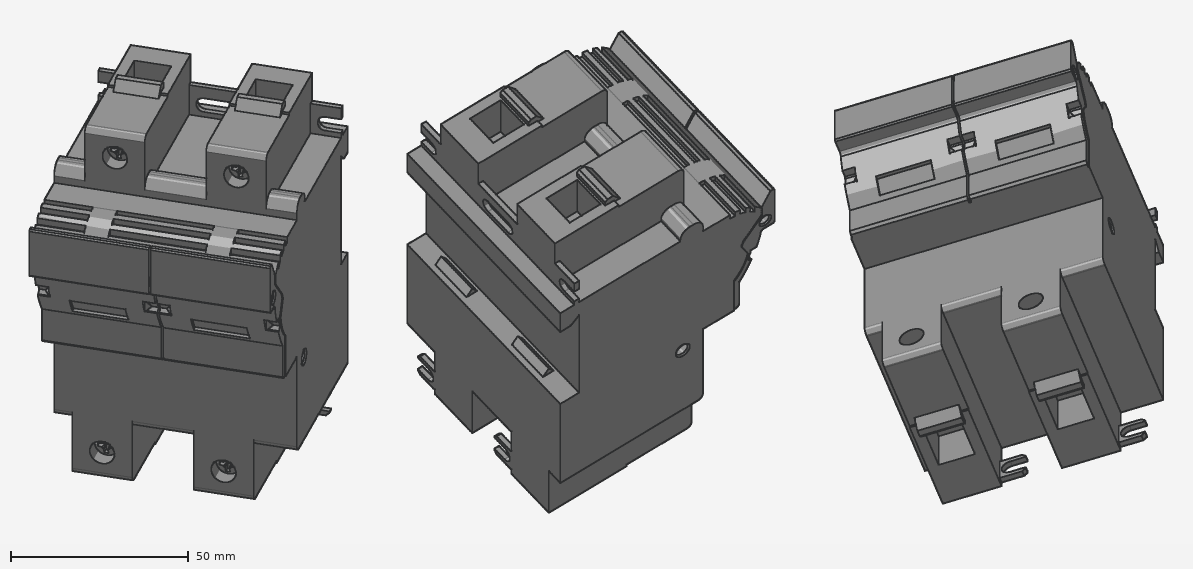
import cadquery as cq
import math


total_width = 71.2
total_height = 120.4
total_depth = 75.9
module_width = total_width / 2
module_starts = [0, module_width]

front_face = 50.3
body_bottom = 21.4
body_top = 99.2
edge_radius = 1.8
rail_face = 6.6
rail_bottom = 57.7
rail_top = 90.7
hook_slope_start = 3.7
hook_slope_top = 93.2
ridge_rear = 42.4
ridge_top = 103.3
ridge_radius = 3.4

nose_bottom = 52.7
nose_top = 97.6
nose_front = 61.4
nose_tip = 71.2
arch_start = 59.7
arch_radius = 14.3
arch_centre_z = nose_top - arch_radius
tip_drop = arch_radius - math.sqrt(arch_radius**2 - (nose_tip - arch_start) ** 2)
nose_crest = (nose_tip, nose_top - tip_drop)

parting_low = (nose_front, 66.1)
parting_bulge = (64.8, 70.5)
parting_corner = (66.2, 75.0)
parting_inner = (63.9, 79.8)
parting_bend = (64.7, 81.6)
parting_high = (nose_tip, 88.6)

groove_spans = [(59.8, 61.6), (63.5, 65.4), (67.0, 68.6)]
groove_depth = 1.7
groove_bridge_width = 7.1

handle_gap = 0.3
handle_front = 63.3
handle_top = 97.0
grip_bottom = 81.6
sweep_bottom = 63.8
sweep_middle = (67.7, 70.9)
sweep_top = (70.9, 80.3)
grip_root_middle = (71.2, 81.3)
grip_root_forward = 72.0
grip_lip = 1.6
grip_chamfer = 0.5
handle_foot_chamfer = 0.8
pin_forward = 72.5
pin_z = 85.0
pin_diameter = 3.3
window_width = 16.4
window_bottom = 65.1
window_top = 70.5
window_profile = [
    (total_depth, window_top),
    (66.5, window_top),
    (63.7, 65.9),
    (64.5, window_bottom),
    (total_depth, window_bottom),
]
notch_width = 4.0
notch_taper = 1.8
notch_back = 66.1
notch_flare_end = 67.4
notch_bottom = 70.9
notch_top = 75.2
notch_profile = [
    (total_depth, notch_top),
    (67.3, notch_top),
    (67.3, 74.2),
    (notch_back, 72.0),
    (67.1, notch_bottom),
    (total_depth, notch_bottom),
]

terminal_width = 17.6
terminal_height_margin = 2.3
terminal_step = 0.7
terminal_step_forward = 27.5
terminal_top = total_height - terminal_height_margin
terminal_front_top = terminal_top - terminal_step
upper_terminal_rear = 4.9
upper_terminal_x = 9.0
lower_terminal_x = 5.3
wire_hole_size = 10.8
wire_hole_rear = 12.8
wire_hole_depth = 14.5
flap_width = 13.2
flap_profile = [
    (24.3, terminal_front_top),
    (24.3, 119.5),
    (25.2, total_height),
    (27.1, total_height),
    (29.6, terminal_front_top),
]

screw_offset = 11.4
screw_bore_diameter = 7.2
screw_bore_depth = 4.8
screw_dome_height = 1.2
cross_length = 5.0
cross_width = 1.2
cross_depth = 2.4
cross_core_diameter = 2.6

tab_top = 109.0
tab_slot_length = 13.7
tab_slot_height = 4.5
tab_slot_z = 103.1
fork_reach = 7.8
fork_bottom = 4.1
fork_top = 12.4
fork_slot_height = 5.2
fork_slot_depth = 7.2
fork_thickness = 1.7
fork_corner = 1.1
fork_overlap = 1.2
cross_bolt_forward = 43.2
cross_bolt_z = 48.5
cross_bolt_diameter = 4.0
countersink = 0.5
latch_width = 14.5
latch_profile = [(1.9, rail_bottom), (4.0, 60.0), (5.7, rail_bottom)]


def side_plane(right_x):
    """Sketch plane with local axes (forward, Z); extrusions run toward -X from right_x."""
    return cq.Workplane(cq.Plane(origin=(right_x, 0, 0), xDir=(0, -1, 0), normal=(-1, 0, 0)))


def side_prism(points, left, right):
    """Solid with a (forward, Z) outline, reaching from left to right."""
    return side_plane(right).polyline(points).close().extrude(right - left)


def block(left, right, rear, front, bottom, top):
    """Box given by its limits across, forward and up."""
    return cq.Workplane("XY").box(right - left, front - rear, top - bottom, centered=False).translate(
        (left, -front, bottom)
    )


def make_body():
    """Housing with rail recess and rounded ridge, joined to the nose behind the handles."""
    housing = side_prism(
        [
            (0, body_bottom),
            (front_face, body_bottom),
            (front_face, ridge_top),
            (ridge_rear, ridge_top),
            (ridge_rear, body_top),
            (0, body_top),
            (0, rail_top),
            (hook_slope_start, rail_top),
            (rail_face, hook_slope_top),
            (rail_face, rail_bottom),
            (0, rail_bottom),
        ],
        0,
        total_width,
    )
    housing = housing.edges("|X and <Y and <Z").fillet(edge_radius)
    housing = housing.faces(">Z").edges("|X").fillet(ridge_radius)

    half_arch_angle = math.asin((nose_tip - arch_start) / arch_radius) / 2
    arch_middle = (
        arch_start + arch_radius * math.sin(half_arch_angle),
        arch_centre_z + arch_radius * math.cos(half_arch_angle),
    )
    nose = (
        side_plane(total_width)
        .moveTo(front_face - edge_radius, nose_bottom)
        .lineTo(nose_front, nose_bottom)
        .lineTo(*parting_low)
        .threePointArc(parting_bulge, parting_corner)
        .lineTo(*parting_inner)
        .lineTo(*parting_bend)
        .lineTo(*parting_high)
        .lineTo(*nose_crest)
        .threePointArc(arch_middle, (arch_start, nose_top))
        .lineTo(front_face - edge_radius, nose_top)
        .close()
        .extrude(total_width)
    )
    return housing.union(nose)


def make_grooves():
    """Three grooves across the arch, interrupted by a bridge in the middle of each module."""
    cutter = None
    for rear, front in groove_spans:
        slab = block(0, total_width, rear, front, arch_centre_z, nose_top)
        cutter = slab if cutter is None else cutter.union(slab)
    core = (
        side_plane(total_width)
        .center(arch_start, arch_centre_z)
        .circle(arch_radius - groove_depth)
        .extrude(total_width)
    )
    cutter = cutter.cut(core)
    for start in module_starts:
        left = start + (module_width - groove_bridge_width) / 2
        cutter = cutter.cut(
            block(left, left + groove_bridge_width, front_face, total_depth, arch_centre_z, nose_top)
        )
    return cutter


def tapered_pocket(profile, back, front, back_limits, front_limits):
    """Side profile whose left and right ends spread from back_limits to front_limits."""
    left = min(back_limits[0], front_limits[0])
    right = max(back_limits[1], front_limits[1])
    bottom = min(z for _, z in profile)
    top = max(z for _, z in profile)
    plan = (
        cq.Workplane("XY", origin=(0, 0, bottom))
        .polyline(
            [
                (back_limits[0], -back),
                (back_limits[1], -back),
                (front_limits[1], -front),
                (front_limits[1], -total_depth),
                (front_limits[0], -total_depth),
                (front_limits[0], -front),
            ]
        )
        .close()
        .extrude(top - bottom)
    )
    return side_prism(profile, left, right).intersect(plan)


def make_handle(start):
    """Handle of one module with its window, two side notches and pin hole."""
    left = start + handle_gap
    right = start + module_width - handle_gap
    handle = (
        side_plane(right)
        .moveTo(nose_front, nose_bottom)
        .lineTo(handle_front - handle_foot_chamfer, nose_bottom)
        .lineTo(handle_front, nose_bottom + handle_foot_chamfer)
        .lineTo(handle_front, sweep_bottom)
        .threePointArc(sweep_middle, sweep_top)
        .threePointArc(grip_root_middle, (grip_root_forward, grip_bottom))
        .lineTo(total_depth - grip_chamfer, grip_bottom)
        .lineTo(total_depth, grip_bottom + grip_chamfer)
        .lineTo(total_depth, handle_top - grip_chamfer)
        .lineTo(total_depth - grip_chamfer, handle_top)
        .lineTo(total_depth - grip_lip, handle_top)
        .lineTo(*nose_crest)
        .lineTo(*parting_high)
        .lineTo(*parting_bend)
        .lineTo(*parting_inner)
        .lineTo(*parting_corner)
        .threePointArc(parting_bulge, parting_low)
        .close()
        .extrude(right - left)
    )

    window_left = start + (module_width - window_width) / 2
    handle = handle.cut(side_prism(window_profile, window_left, window_left + window_width))

    module_end = start + module_width
    notch_limits = [
        ((start, start + notch_width - notch_taper), (start, start + notch_width)),
        ((module_end - notch_width + notch_taper, module_end), (module_end - notch_width, module_end)),
    ]
    for back_limits, front_limits in notch_limits:
        notch = tapered_pocket(notch_profile, notch_back, notch_flare_end, back_limits, front_limits)
        handle = handle.cut(notch)

    return handle.cut(countersunk_bore(left, right, pin_forward, pin_z, pin_diameter))


def countersunk_bore(left, right, forward, z, diameter):
    """Hole along X from left to right with a small countersink at both ends."""
    radius = diameter / 2
    length = right - left
    return (
        cq.Workplane("XY")
        .polyline(
            [
                (0, 0),
                (radius + countersink, 0),
                (radius, countersink),
                (radius, length - countersink),
                (radius + countersink, length),
                (0, length),
            ]
        )
        .close()
        .revolve(360, (0, 0, 0), (0, 1, 0))
        .rotate((0, 0, 0), (0, 0, 1), -90)
        .translate((left, -forward, z))
    )


def make_terminal(left, rear, root):
    """Upright terminal block: stepped top, flap, wire hole and recessed screw."""
    right = left + terminal_width
    middle = left + terminal_width / 2
    terminal = side_prism(
        [
            (rear, root),
            (front_face, root),
            (front_face, terminal_front_top),
            (terminal_step_forward, terminal_front_top),
            (terminal_step_forward, terminal_top),
            (rear, terminal_top),
        ],
        left,
        right,
    )
    terminal = terminal.faces("<Y").edges(">Z").fillet(edge_radius)

    flap = side_prism(flap_profile, middle - flap_width / 2, middle + flap_width / 2)
    wire_hole = block(
        middle - wire_hole_size / 2,
        middle + wire_hole_size / 2,
        wire_hole_rear,
        wire_hole_rear + wire_hole_size,
        terminal_top - wire_hole_depth,
        terminal_top,
    )
    return terminal.union(flap).cut(wire_hole).cut(screw_recess(middle, total_height - screw_offset))


def make_lower_terminal(left):
    """Hanging terminal: the standing shape turned upside down, with a fork on its right."""
    overlap = 2 * edge_radius
    upright = make_terminal(left, 0, total_height - body_bottom - overlap)
    hanging = upright.mirror("XY", (0, 0, total_height / 2))
    return hanging.union(make_fork(left + terminal_width))


def screw_recess(x, z):
    """Bore from the front face ending on a domed screw head with a cross slot."""
    radius = screw_bore_diameter / 2
    floor = screw_bore_depth
    dome_radius = (radius**2 + screw_dome_height**2) / (2 * screw_dome_height)
    dome_centre = floor - screw_dome_height + dome_radius
    dome_middle = (radius / 2, dome_centre - math.sqrt(dome_radius**2 - (radius / 2) ** 2))
    bore = (
        cq.Workplane("XY")
        .moveTo(0, 0)
        .lineTo(radius, 0)
        .lineTo(radius, floor)
        .threePointArc(dome_middle, (0, floor - screw_dome_height))
        .close()
        .revolve(360, (0, 0, 0), (0, 1, 0))
    )
    for width, height in [(cross_length, cross_width), (cross_width, cross_length)]:
        slot = cq.Workplane("XY").box(width, cross_depth, height)
        bore = bore.union(slot.translate((0, floor - screw_dome_height + cross_depth / 2, 0)))
    core = cq.Solid.makeCone(
        cross_core_diameter / 2,
        cross_width / 2,
        cross_depth + screw_dome_height,
        cq.Vector(0, floor - screw_dome_height, 0),
        cq.Vector(0, 1, 0),
    )
    return bore.union(cq.Workplane(core)).translate((x, -front_face, z))


def make_fork(left):
    """Flat two-pronged contact lug beside a lower terminal."""
    tip = left + fork_reach
    lug = block(left - fork_overlap, tip, 0, fork_thickness, fork_bottom, fork_top)
    lug = lug.edges("|Y and >X").chamfer(fork_corner)
    slot = (
        cq.Workplane("XZ")
        .center(tip, (fork_bottom + fork_top) / 2)
        .slot2D(2 * fork_slot_depth, fork_slot_height)
        .extrude(fork_thickness)
    )
    return lug.cut(slot)


def make_rear_tab():
    """Upright plate behind the upper terminals with slots centred on the module borders."""
    plate = block(0, total_width, upper_terminal_rear, rail_face, body_top, tab_top)
    borders = [(index * module_width, tab_slot_z) for index in range(len(module_starts) + 1)]
    slots = (
        cq.Workplane("XZ", origin=(0, -upper_terminal_rear, 0))
        .pushPoints(borders)
        .slot2D(tab_slot_length, tab_slot_height)
        .extrude(rail_face - upper_terminal_rear)
    )
    return plate.cut(slots)


def make_latch(start):
    """Small wedge of the rail latch on the lower ledge of the rail recess."""
    left = start + (module_width - latch_width) / 2
    return side_prism(latch_profile, left, left + latch_width)


result = make_body().cut(make_grooves()).union(make_rear_tab())
for module_start in module_starts:
    result = result.union(make_handle(module_start))
    result = result.union(make_terminal(module_start + upper_terminal_x, upper_terminal_rear, body_top))
    result = result.union(make_lower_terminal(module_start + lower_terminal_x))
    result = result.union(make_latch(module_start))
result = result.cut(
    countersunk_bore(0, total_width, cross_bolt_forward, cross_bolt_z, cross_bolt_diameter)
)